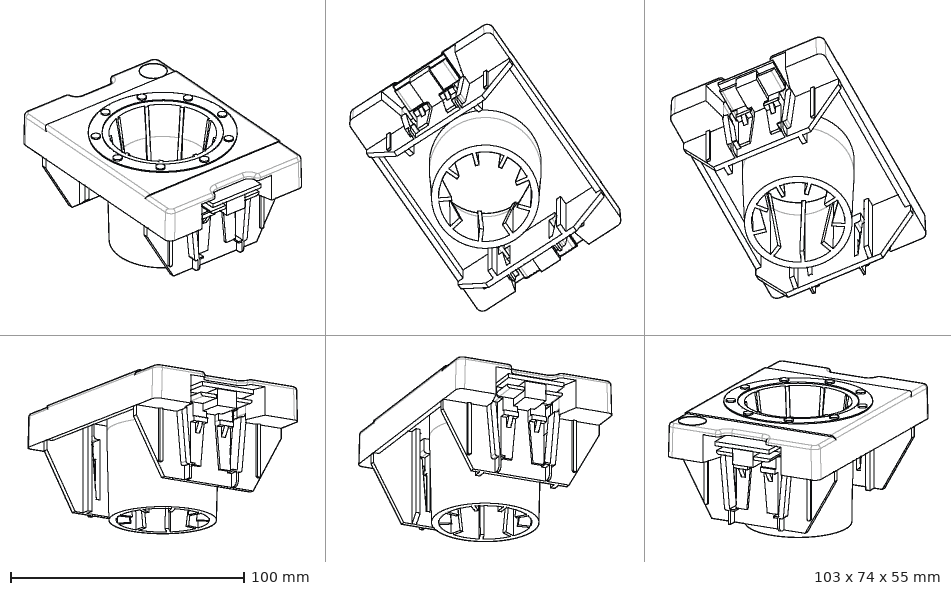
import cadquery as cq
import math


plate_length = 103.0
plate_width = 73.7
plate_height = 15.1
side_draft_angle = 1.6
corner_radius = 3.0
top_edge_radius = 1.4
middle_length = 71.9
middle_height = 16.0
middle_undercut_angle = 36.0
middle_edge_radius = 1.6
ceiling_height = 12.6
wall_thickness = 2.6

ring_diameter = 64.0
ring_inner_diameter = 52.0
ring_top = 16.5
pip_count = 9
pip_diameter = 4.0
pip_circle_radius = 28.9
pip_top = 17.1
badge_diameter = 12.0
badge_depth = 0.2
badge_x = -43.1
badge_y = 28.5

sleeve_bottom = -37.9
sleeve_top_radius = 24.0
sleeve_bottom_radius = 23.1
sleeve_taper_top = 1.2
bore_top_radius = 23.1
bore_step_radius = 20.4
bore_step_z = 1.4
bore_bottom_radius = 20.0
fin_count = 9
fin_tip_bottom_radius = 14.4
fin_tip_top_radius = 22.1
fin_thickness = 1.6
fin_embedding = 0.5

panel_outer_x = 36.5
panel_inner_x = 34.1
panel_width = 74.0
panel_bottom = -29.8
panel_bottom_width = 45.3
panel_shoulder_z = -4.4
inner_rib_x = 30.1
inner_rib_y = 17.7
inner_rib_thickness = 2.1
inner_rib_chamfer = 3.9
outer_rib_y = 24.9
outer_rib_thickness = 1.6
outer_rib_height = 1.0
outer_rib_end_radius = 0.7

frame_outer_x = 40.5
frame_bottom = -23.6
frame_top_width = 33.0
frame_bottom_width = 28.4
frame_corner_radius = 1.0
frame_gap_width = 19.2
window_top = 1.1
window_bottom = -22.9
window_top_width = 27.8
window_bottom_width = 23.7
foot_rib_y = 11.9
foot_rib_thickness = 0.9
foot_rib_radius = 2.3

recess_outer_width = 37.9
recess_inner_width = 31.9
opening_corner_radius = 1.5
notch_depth = 4.5
notch_mouth_width = 25.8
notch_floor_width = 14.6
notch_turn_share = 0.35
notch_clearance = 1.0

arm_width = 20.2
arm_leg_x = 37.7
upper_leg_x = 39.3
upper_leg_bottom = -1.9
lip_x = 40.4
lip_bottom = -4.0
leg_gap_top = 6.2
leg_gap_bottom = 9.9
tab_width = 26.2
tab_bottom = 8.5
tab_top = 10.4
bar_x = 50.3
bar_bottom = 4.4
bar_top = 6.0
head_bottom = 3.8
head_corner_radius = 1.4
web_x = 50.8
web_width = 9.9
gusset_y = 6.6
gusset_thickness = 2.1
gusset_bottom = -8.4


def block(x_start, x_end, width, z_start, z_end, y_center=0.0):
    """Box between two X and two Z limits, centred on y_center."""
    return (
        cq.Workplane("XY", origin=((x_start + x_end) / 2, y_center, z_start))
        .rect(x_end - x_start, width)
        .extrude(z_end - z_start)
    )


def tapered_block(x_start, x_end, top_width, bottom_width, z_bottom, z_top):
    """Block along X whose Y-Z outline is a symmetric trapezoid."""
    return (
        cq.Workplane("YZ", origin=(x_start, 0, 0))
        .moveTo(-bottom_width / 2, z_bottom)
        .lineTo(bottom_width / 2, z_bottom)
        .lineTo(top_width / 2, z_top)
        .lineTo(-top_width / 2, z_top)
        .close()
        .extrude(x_end - x_start)
    )


def drafted_slab(half_length, height):
    """Slab as wide as the plate whose long sides lean inwards by the draft angle."""
    top_width = plate_width - 2 * height * math.tan(math.radians(side_draft_angle))
    return tapered_block(-half_length, half_length, top_width, plate_width, 0, height)


def make_plate():
    half_length = plate_length / 2
    half_middle = middle_length / 2
    ends = (
        drafted_slab(half_length, plate_height)
        .edges("(not |X) and (not |Y)")
        .fillet(corner_radius)
    )
    ends = ends.cut(both_ends(make_notch())).faces(">Z").edges().fillet(top_edge_radius)
    middle = (
        drafted_slab(half_middle, middle_height)
        .faces(">Z")
        .edges("|X")
        .fillet(middle_edge_radius)
    )
    half_base = half_middle - middle_height * math.tan(math.radians(middle_undercut_angle))
    step_outline = (
        cq.Workplane("XZ")
        .moveTo(-half_base, 0)
        .lineTo(half_base, 0)
        .lineTo(half_middle, middle_height)
        .lineTo(-half_middle, middle_height)
        .close()
        .extrude(plate_width / 2, both=True)
    )
    middle = middle.intersect(step_outline)
    cavity = block(
        -panel_inner_x, panel_inner_x, plate_width - 2 * wall_thickness, 0, ceiling_height
    )
    badge = (
        cq.Workplane("XY", origin=(badge_x, badge_y, plate_height - badge_depth))
        .circle(badge_diameter / 2)
        .extrude(badge_depth)
    )
    return ends.union(middle).cut(cavity).cut(badge)


def make_ring():
    ring = (
        cq.Workplane("XY", origin=(0, 0, ceiling_height))
        .circle(ring_diameter / 2)
        .extrude(ring_top - ceiling_height)
    )
    inner_step = (
        cq.Workplane("XY", origin=(0, 0, middle_height))
        .circle(ring_inner_diameter / 2)
        .extrude(ring_top - middle_height)
    )
    pips = (
        cq.Workplane("XY", origin=(0, 0, middle_height))
        .polarArray(pip_circle_radius, 0, 360, pip_count)
        .circle(pip_diameter / 2)
        .extrude(pip_top - middle_height)
    )
    return ring.cut(inner_step).union(pips)


def make_sleeve():
    return (
        cq.Workplane("XZ")
        .moveTo(0, sleeve_bottom)
        .lineTo(sleeve_bottom_radius, sleeve_bottom)
        .lineTo(sleeve_top_radius, sleeve_taper_top)
        .lineTo(sleeve_top_radius, middle_height)
        .lineTo(0, middle_height)
        .close()
        .revolve(360, (0, 0, 0), (0, 1, 0))
    )


def make_bore():
    return (
        cq.Workplane("XZ")
        .moveTo(0, sleeve_bottom)
        .lineTo(bore_bottom_radius, sleeve_bottom)
        .lineTo(bore_step_radius, bore_step_z)
        .lineTo(bore_top_radius, middle_height)
        .lineTo(0, middle_height)
        .close()
        .revolve(360, (0, 0, 0), (0, 1, 0))
    )


def make_fins():
    """Wedge fins that reach further into the bore towards its lower end."""
    fin_root_radius = bore_top_radius + fin_embedding
    fin = (
        cq.Workplane("XZ")
        .moveTo(fin_tip_bottom_radius, sleeve_bottom)
        .lineTo(bore_bottom_radius + fin_embedding, sleeve_bottom)
        .lineTo(fin_root_radius, middle_height)
        .lineTo(fin_tip_top_radius, middle_height)
        .close()
        .extrude(fin_thickness / 2, both=True)
    )
    fins = fin
    for index in range(1, fin_count):
        fins = fins.union(fin.rotate((0, 0, 0), (0, 0, 1), index * 360 / fin_count))
    return fins


def make_panel(chamfered_ribs):
    """Panel at the -X end with its ribs, window frame and window."""
    panel = tapered_block(
        -panel_outer_x, -panel_inner_x, panel_width, panel_bottom_width, panel_bottom, panel_shoulder_z
    )
    panel = panel.union(block(-panel_outer_x, -panel_inner_x, panel_width, panel_shoulder_z, 0))
    frame = (
        tapered_block(
            -frame_outer_x, -panel_outer_x, frame_top_width, frame_bottom_width, frame_bottom, window_top
        )
        .faces("<Z")
        .edges("|X")
        .fillet(frame_corner_radius)
    )
    frame_gap = block(-frame_outer_x, -panel_outer_x, frame_gap_width, frame_bottom, window_top)
    panel = panel.union(frame.cut(frame_gap))
    for side in (-1, 1):
        inner_rib = block(
            -panel_inner_x, -inner_rib_x, inner_rib_thickness,
            panel_bottom, ceiling_height, side * inner_rib_y,
        )
        if chamfered_ribs:
            inner_rib = inner_rib.faces("<Z").edges(">X").chamfer(inner_rib_chamfer)
        outer_rib = (
            block(
                -panel_outer_x - outer_rib_height, -panel_outer_x, outer_rib_thickness,
                frame_bottom, 0, side * outer_rib_y,
            )
            .faces("<Z")
            .edges("|X")
            .fillet(outer_rib_end_radius)
        )
        foot_rib = block(
            -frame_outer_x, -panel_outer_x, foot_rib_thickness,
            panel_bottom, frame_bottom, side * foot_rib_y,
        )
        if side < 0 or not chamfered_ribs:
            foot_rib = foot_rib.faces("<Z").edges("<X").fillet(foot_rib_radius)
        panel = panel.union(inner_rib).union(outer_rib).union(foot_rib)
    return panel


def make_recess():
    """Space removed from the -X end: recess, thumb notch, opening and latch window."""
    half_length = plate_length / 2
    recess = (
        cq.Workplane("XY")
        .moveTo(-half_length, -recess_outer_width / 2)
        .lineTo(-frame_outer_x, -recess_inner_width / 2)
        .lineTo(-frame_outer_x, recess_inner_width / 2)
        .lineTo(-half_length, recess_outer_width / 2)
        .close()
        .extrude(ceiling_height)
    )
    opening = (
        block(-frame_outer_x, -panel_inner_x, recess_inner_width, window_top, ceiling_height)
        .edges("|X")
        .fillet(opening_corner_radius)
    )
    window = tapered_block(
        -frame_outer_x, -panel_inner_x, window_top_width, window_bottom_width,
        window_bottom, window_top,
    )
    return recess.union(opening).union(window)


def make_notch():
    """Thumb notch through the plate top; each flank is a smooth S of two tangent arcs."""
    end_x = -plate_length / 2
    floor_x = end_x + notch_depth
    half_mouth = notch_mouth_width / 2
    half_floor = notch_floor_width / 2
    outside_x = end_x - notch_clearance
    outside_y = half_mouth + notch_clearance
    turn_x = end_x + notch_turn_share * notch_depth
    turn_y = half_mouth - notch_turn_share * (half_mouth - half_floor)
    return (
        cq.Workplane("XY", origin=(0, 0, ceiling_height))
        .moveTo(outside_x, outside_y)
        .lineTo(end_x, outside_y)
        .lineTo(end_x, half_mouth)
        .tangentArcPoint((turn_x, turn_y), relative=False)
        .tangentArcPoint((floor_x, half_floor), relative=False)
        .lineTo(floor_x, -half_floor)
        .tangentArcPoint((turn_x, -turn_y), relative=False)
        .tangentArcPoint((end_x, -half_mouth), relative=False)
        .lineTo(end_x, -outside_y)
        .lineTo(outside_x, -outside_y)
        .close()
        .extrude(plate_height - ceiling_height)
    )


def make_latch_legs():
    """Pair of latch legs with a lip, split by a gap that widens downwards."""
    legs = (
        cq.Workplane("XZ")
        .moveTo(-panel_inner_x, window_bottom)
        .lineTo(-arm_leg_x, window_bottom)
        .lineTo(-arm_leg_x, lip_bottom)
        .lineTo(-lip_x, lip_bottom)
        .lineTo(-lip_x, upper_leg_bottom)
        .lineTo(-upper_leg_x, upper_leg_bottom)
        .lineTo(-upper_leg_x, tab_top)
        .lineTo(-panel_inner_x, tab_top)
        .close()
        .extrude(arm_width / 2, both=True)
    )
    gap = tapered_block(
        -lip_x, -panel_outer_x, leg_gap_top, leg_gap_bottom, window_bottom, upper_leg_bottom
    )
    upper_gap = block(-lip_x, -panel_outer_x, leg_gap_top, upper_leg_bottom, window_top)
    return legs.cut(gap).cut(upper_gap)


def make_latch_arm():
    """Spring arm at the -X end with legs, head, thumb tab, web, cross bar and gussets."""
    tab = block(-plate_length / 2, -panel_inner_x, tab_width, tab_bottom, tab_top)
    web = block(-web_x, -panel_inner_x, web_width, window_top, tab_bottom)
    head = (
        block(-upper_leg_x, -panel_inner_x, tab_width, head_bottom, tab_top)
        .faces("<Z")
        .edges("|X")
        .fillet(head_corner_radius)
    )
    bar = (
        block(-bar_x, -panel_inner_x, tab_width, bar_bottom, bar_top)
        .faces("<Z")
        .edges("|X")
        .fillet(head_corner_radius)
    )
    arm = make_latch_legs().union(head).union(tab).union(web).union(bar)
    for side in (-1, 1):
        gusset = (
            cq.Workplane("XZ", origin=(0, side * gusset_y, 0))
            .moveTo(-arm_leg_x, lip_bottom)
            .lineTo(-lip_x, lip_bottom)
            .lineTo(-arm_leg_x, gusset_bottom)
            .close()
            .extrude(gusset_thickness / 2, both=True)
        )
        arm = arm.union(gusset)
    return arm


def both_ends(feature):
    """The feature together with its mirror image at the other X end."""
    return feature.union(feature.mirror("YZ"))


result = (
    make_plate()
    .union(make_panel(chamfered_ribs=True))
    .union(make_panel(chamfered_ribs=False).mirror("YZ"))
    .cut(both_ends(make_recess()))
    .union(both_ends(make_latch_arm()))
    .union(make_ring())
    .union(make_sleeve())
    .cut(make_bore())
    .union(make_fins())
)